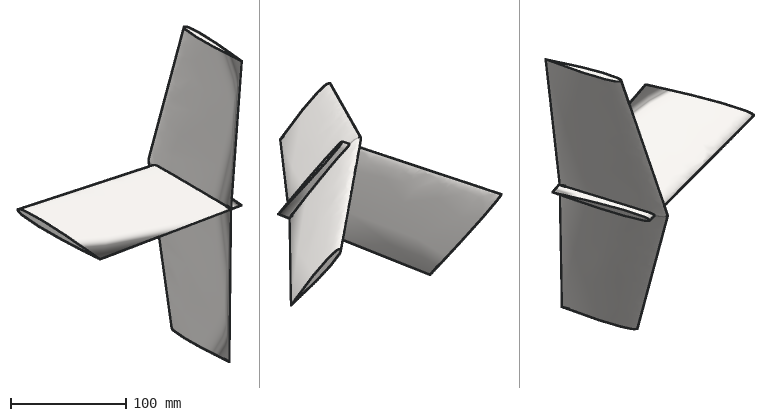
import cadquery as cq
import math

THICKNESS_RATIO = 0.09
THICKNESS_SCALE = 5 * THICKNESS_RATIO
THICKNESS_TERMS = ((0.5, 0.2969), (1, -0.1260), (2, -0.3516), (3, 0.2843), (4, -0.1036))
SURFACE_STEPS = 10

FIN_HALF_SPAN = 170.0
FIN_ROOT_CHORD = 100.0
FIN_TIP_CHORD = 70.0
FIN_TOP_LEAD = 43.0
FIN_BOTTOM_LEAD = 28.0

STAB_INNER_Y = 10.0
STAB_OUTER_Y = -130.0
STAB_OUTER_CHORD = 100.0
STAB_INNER_CHORD = 90.0
STAB_OUTER_LEAD = -32.0
STAB_INNER_LEAD = 13.0


def half_thickness(fraction):
    """Half thickness per unit chord of a symmetric four-digit NACA section with a sharp tail."""
    return THICKNESS_SCALE * sum(factor * fraction**power for power, factor in THICKNESS_TERMS)


def side_points(lead, chord, side):
    """Points on one side of a section from nose to tail, closely spaced at both ends."""
    fractions = [(1 - math.cos(math.pi * step / SURFACE_STEPS)) / 2 for step in range(SURFACE_STEPS + 1)]
    return [(lead + chord * fraction, side * chord * half_thickness(fraction)) for fraction in fractions]


def add_section(sketch, lead, chord):
    """Draw one closed aerofoil: a smooth curve around the nose and a sharp trailing edge."""
    upper = side_points(lead, chord, 1)
    lower = side_points(lead, chord, -1)
    tail = (lead + chord, 0)
    outline = [tail] + upper[-2::-1] + lower[1:-1] + [tail]
    return sketch.spline(outline).close()


def tapered_panel(plane, start, end, span):
    """Loft straight from one (lead, chord) section to another across the span."""
    sketch = add_section(cq.Workplane(plane), *start)
    return add_section(sketch.workplane(offset=span), *end).loft(ruled=True)


fin_root = (0.0, FIN_ROOT_CHORD)
fin_top = tapered_panel("XY", fin_root, (FIN_TOP_LEAD, FIN_TIP_CHORD), FIN_HALF_SPAN)
fin_bottom = tapered_panel("XY", fin_root, (FIN_BOTTOM_LEAD, FIN_TIP_CHORD), -FIN_HALF_SPAN)

stabiliser = tapered_panel(
    cq.Plane(origin=(0, STAB_INNER_Y, 0), xDir=(1, 0, 0), normal=(0, -1, 0)),
    (STAB_INNER_LEAD, STAB_INNER_CHORD),
    (STAB_OUTER_LEAD, STAB_OUTER_CHORD),
    STAB_INNER_Y - STAB_OUTER_Y,
)

result = fin_top.union(fin_bottom).union(stabiliser)